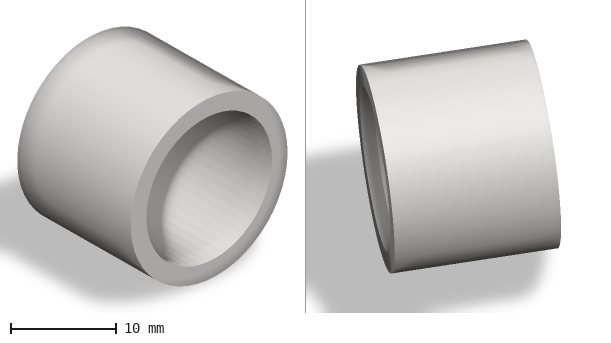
import cadquery as cq

length = 16.0
outer_diameter = 20.0
mouth_diameter = 15.8
throat_diameter = 13.4
bore_diameter = 16.0
mouth_depth = 1.2
throat_length = 0.8

outer_radius = outer_diameter / 2
mouth_radius = mouth_diameter / 2
throat_radius = throat_diameter / 2
bore_radius = bore_diameter / 2

front_x = -length / 2
back_x = length / 2
throat_start_x = front_x + mouth_depth
throat_end_x = throat_start_x + throat_length

wall_section = (
    cq.Workplane("XY")
    .moveTo(front_x, outer_radius)
    .lineTo(back_x, outer_radius)
    .lineTo(back_x, bore_radius)
    .lineTo(throat_end_x, bore_radius)
    .lineTo(throat_end_x, throat_radius)
    .lineTo(throat_start_x, throat_radius)
    .lineTo(front_x, mouth_radius)
    .close()
)

result = wall_section.revolve(360, (0, 0, 0), (1, 0, 0))